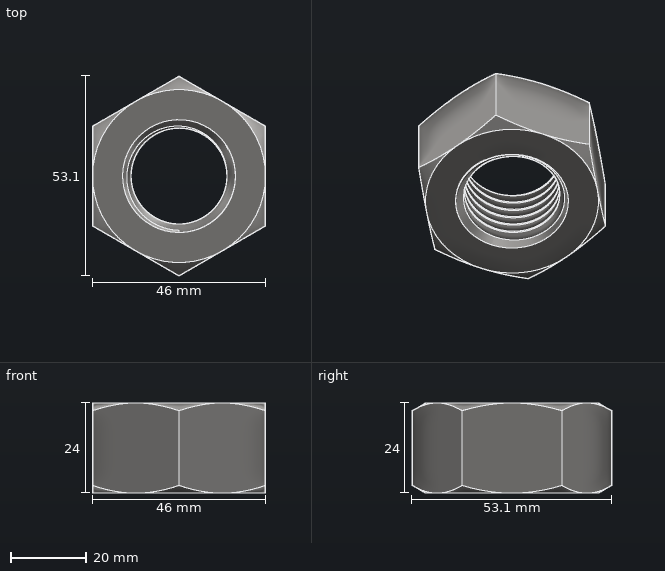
import cadquery as cq
import math

THREAD_DIAMETER = 30.0
THREAD_PITCH = 3.5
WIDTH_ACROSS_FLATS = 46.0
NUT_HEIGHT = 24.0
ENVELOPE_MARGIN = 1.0
CORNER_CHAMFER_ANGLE = 30.0
BORE_CHAMFER_ANGLE = 45.0
THREAD_FLANK_ANGLE = 30.0
GROOVE_ROOT_WIDTH = 0.3
THREAD_START_ANGLE = -90.0
THREAD_START_Z = -1.57
THREAD_TURNS = 8
CUTTER_OVERLAP = 0.2
RELIEF_START_TURN = 7
RELIEF_TURNS = 0.4
RELIEF_HEIGHT = 2.0
RELIEF_CLEARANCE = 0.01

width_across_corners = WIDTH_ACROSS_FLATS / math.cos(math.radians(30))
sharp_thread_height = THREAD_PITCH * math.sqrt(3) / 2
thread_depth = 3 / 4 * sharp_thread_height
major_radius = THREAD_DIAMETER / 2
bore_radius = major_radius - thread_depth
cutter_inner_radius = bore_radius - CUTTER_OVERLAP
root_half_width = GROOVE_ROOT_WIDTH / 2
flank_rise = (major_radius - cutter_inner_radius) * math.tan(math.radians(THREAD_FLANK_ANGLE))
mouth_half_width = root_half_width + flank_rise


def make_hexagon():
    """Hexagonal prism with two flats facing +X and -X."""
    prism = cq.Workplane("XY").polygon(6, width_across_corners).extrude(NUT_HEIGHT)
    return prism.rotate((0, 0, 0), (0, 0, 1), 30)


def revolve_about_z(profile):
    """Turn a closed profile of (radius, height) points about the Z axis."""
    return cq.Workplane("XZ").polyline(profile).close().revolve(360, (0, 0), (0, 1))


def make_corner_envelope():
    """Turned body whose conical ends trim the hexagon's corners."""
    face_radius = WIDTH_ACROSS_FLATS / 2
    rim_radius = width_across_corners / 2 + ENVELOPE_MARGIN
    drop = (rim_radius - face_radius) * math.tan(math.radians(CORNER_CHAMFER_ANGLE))
    profile = [
        (0, 0),
        (face_radius, 0),
        (rim_radius, drop),
        (rim_radius, NUT_HEIGHT - drop),
        (face_radius, NUT_HEIGHT),
        (0, NUT_HEIGHT),
    ]
    return revolve_about_z(profile)


def make_bore():
    """Minor-diameter bore, countersunk to the major diameter at both ends."""
    depth = thread_depth * math.tan(math.radians(BORE_CHAMFER_ANGLE))
    profile = [
        (0, 0),
        (major_radius, 0),
        (bore_radius, depth),
        (bore_radius, NUT_HEIGHT - depth),
        (major_radius, NUT_HEIGHT),
        (0, NUT_HEIGHT),
    ]
    return revolve_about_z(profile)


def sweep_helix(profile, start_z, turns):
    """Sweep a radial profile up a right-hand helix that starts on the -Y side."""
    path = cq.Wire.makeHelix(THREAD_PITCH, turns * THREAD_PITCH, profile[0][0])
    swept = cq.Workplane("XZ").polyline(profile).close().sweep(cq.Workplane(obj=path), isFrenet=True)
    return swept.rotate((0, 0, 0), (0, 0, 1), THREAD_START_ANGLE).translate((0, 0, start_z))


def make_thread_groove():
    """Helical 60 degree groove with a flat root at the major diameter."""
    profile = [
        (cutter_inner_radius, -mouth_half_width),
        (major_radius, -root_half_width),
        (major_radius, root_half_width),
        (cutter_inner_radius, mouth_half_width),
    ]
    return sweep_helix(profile, THREAD_START_Z, THREAD_TURNS)


def make_feather_edge_relief():
    """Helical cut above the groove's centre that removes the thin fin left under the top face."""
    relief_radius = major_radius + RELIEF_CLEARANCE
    profile = [
        (cutter_inner_radius, 0),
        (relief_radius, 0),
        (relief_radius, RELIEF_HEIGHT),
        (cutter_inner_radius, RELIEF_HEIGHT),
    ]
    start_z = THREAD_START_Z + RELIEF_START_TURN * THREAD_PITCH
    return sweep_helix(profile, start_z, RELIEF_TURNS)


nut = make_hexagon().intersect(make_corner_envelope())
nut = nut.cut(make_bore())
nut = nut.cut(make_thread_groove())
result = nut.cut(make_feather_edge_relief())